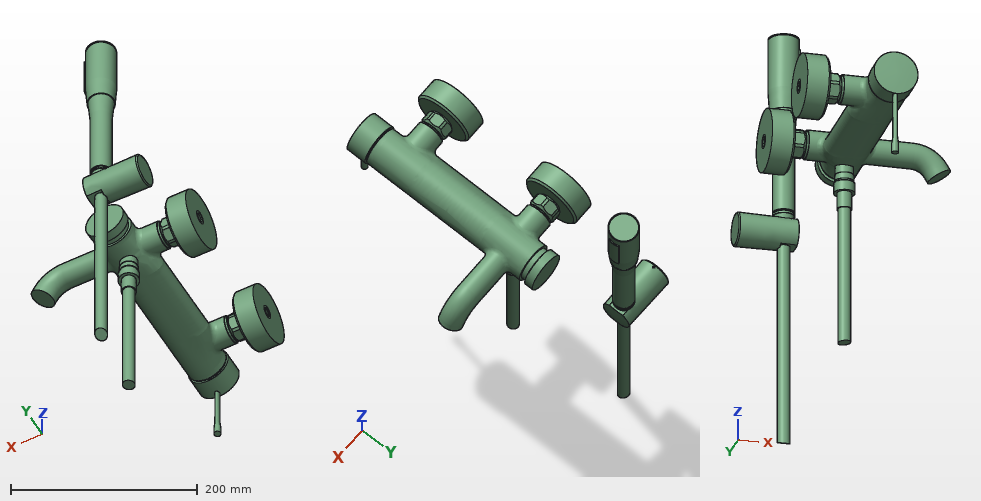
import cadquery as cq
import math


mixer_x = 92.0
inlet_spacing = 150.0
inlet_ys = (-inlet_spacing / 2, inlet_spacing / 2)
spout_y = inlet_ys[1]

flange_diameter = 70.0
flange_depth = 26.0
flange_edge = 2.5
stub_diameter = 15.0
stub_bore = 10.5
stub_bore_depth = 1.5
stub_offset = 3.0
nut_across_flats = 30.0
nut_corner_diameter = 33.0
nut_length = 17.0
nut_chamfer = 3.5
nut_turns = (0, 30)
washer_diameter = 29.5
washer_length = 2.5
inlet_diameter = 32.5

body_diameter = 46.0
body_radius = body_diameter / 2
lobe_height = 11.0
lobe_angle = 205.0
lobe_sharpness = 6
section_points = 48
lobe_half_length = 50.0
blend_end = 100.0
body_front = -106.5
groove_start = 105.5
groove_end = 113.0
groove_radius = 20.0
body_back = 123.5
pipe_blend = 5.5
joint_reach = 15.0
blend_steps = (1.0, 0.84, 0.5, 0.16, 0.0)

spout_diameter = 28.0
bend_x = 163.5
bend_radius = 31.0
bend_angle = 60.0
spout_tip = 6.5

outlet_x = 88.5
hose_diameter = 14.0
outlet_diameter = 20.0
outlet_bottom = -31.5
collar_diameter = 21.0
collar_bottom = -38.5
coupling_diameter = 23.0
coupling_top = -41.0
coupling_bottom = -52.5
sleeve_diameter = 16.0
sleeve_bottom = -71.0
outlet_hose_bottom = -228.0
outlet_hose_slant = 1.5

cap_diameter = 48.5
cap_front = -134.5
cap_dome = 1.5
cap_neck_length = 1.5
cap_neck_radius = 22.0
lever_y = -128.5
lever_thickness = 5.0
lever_width = 7.5
lever_neck_top = -73.5
lever_tip_top = -82.0
lever_bottom = -92.0

shower_x = 54.0
shower_y = 200.0
shower_top = 178.0
head_diameter = 34.0
head_radius = head_diameter / 2
head_rim_width = 1.0
head_recess = 1.0
head_bottom = 116.0
shoulder_bottom = 92.5
shoulder_radius = 15.0
cone_radius = 14.5
handle_top = 67.0
handle_diameter = 24.5
handle_radius = handle_diameter / 2
handle_bottom = -25.0
ring_groove_bottom = -26.5
ring_groove_radius = 11.0
ring_bottom = -29.5
tip_top_diameter = 22.5
tip_top_radius = tip_top_diameter / 2
tip_bottom_radius = 10.0
tip_bottom = -38.0
spray_top = 165.5
spray_bottom = 117.0
spray_diameter = 36.5
spray_half_width = 6.5
spray_depth = 12.0
holder_z = -50.0
holder_length = 68.0
holder_diameter = 35.5
holder_radius = holder_diameter / 2
holder_wall_diameter = 37.5
holder_wall_radius = holder_wall_diameter / 2
holder_wall_chamfer = 1.5
set_screw_diameter = 2.5
set_screw_x = 3.5
set_screw_depth = 4.0
holder_dome = 1.5
holder_flat_start = 48.5
holder_flat_height = 15.0
shower_hose_bottom = -298.0
shower_hose_slant = 5.5


def turned(stations):
    """Solid of revolution about Z through (radius, height) points, closed along the axis."""
    outline = [(0, stations[0][1]), *stations, (0, stations[-1][1])]
    return cq.Workplane("XZ").polyline(outline).close().revolve(360, (0, 0, 0), (0, 1, 0))


def rod_x(diameter, start, end, y, z=0):
    return cq.Workplane("YZ", (start, y, z)).circle(diameter / 2).extrude(end - start)


def rod_z(diameter, bottom, top, x, y):
    return cq.Workplane("XY", (x, y, bottom)).circle(diameter / 2).extrude(top - bottom)


def domed_rod(base_radius, radius, length, dome):
    """Straight or tapered rod along Z from the origin whose far end swells to a shallow dome."""
    sphere_radius = (radius**2 + dome**2) / (2 * dome)
    mid_radius = radius / 2
    mid_height = length - sphere_radius + math.sqrt(sphere_radius**2 - mid_radius**2)
    return (
        cq.Workplane("XZ")
        .lineTo(base_radius, 0)
        .lineTo(radius, length - dome)
        .threePointArc((mid_radius, mid_height), (0, length))
        .close()
        .revolve(360, (0, 0, 0), (0, 1, 0))
    )


def make_flange(y):
    disc = rod_x(flange_diameter, 0, flange_depth, y).faces(">X").edges().chamfer(flange_edge)
    return disc.cut(rod_x(stub_diameter, 0, flange_depth, y + stub_offset))


def make_union(y, turn):
    nut_end = flange_depth + nut_length
    hexagon = (
        cq.Workplane("YZ", (flange_depth, y, 0))
        .transformed(rotate=(0, 0, turn))
        .polygon(6, nut_across_flats / math.cos(math.pi / 6))
        .extrude(nut_length)
    )
    rounding = rod_x(nut_corner_diameter, flange_depth, nut_end, y).faces("<X or >X").edges()
    nut = hexagon.intersect(rounding.chamfer(nut_chamfer))
    washer = rod_x(washer_diameter, nut_end, nut_end + washer_length, y)
    stub = rod_x(stub_diameter, 0, flange_depth, y + stub_offset)
    bore = rod_x(stub_bore, 0, stub_bore_depth, y + stub_offset)
    return nut.union(washer).union(stub).cut(bore)


def lobe_section(y, amount):
    """Body circle with a rounded lobe that stands out down and toward the wall."""
    points = []
    for i in range(section_points):
        from_lobe = math.pi + 2 * math.pi * i / section_points
        bump = max(0, math.cos(from_lobe)) ** lobe_sharpness
        radius = body_radius + amount * lobe_height * bump
        angle = math.radians(lobe_angle) + from_lobe
        points.append((mixer_x + radius * math.cos(angle), radius * math.sin(angle)))
    return cq.Workplane("XZ", (0, y, 0)).spline(points, periodic=True).close()


def body_ring(radius, start, end):
    return cq.Workplane("XZ", (mixer_x, start, 0)).circle(radius).extrude(start - end)


def make_lobe_blend(side):
    """Lobe fading smoothly into the round body toward one end."""
    last = len(blend_steps) - 1
    spacing = (blend_end - lobe_half_length) / last
    wires = [
        lobe_section(side * (lobe_half_length + i * spacing), amount).wire().val()
        for i, amount in enumerate(blend_steps)
    ]
    return cq.Workplane(cq.Solid.makeLoft(wires))


def make_spout():
    path = (
        cq.Workplane("XZ", (0, spout_y, 0))
        .moveTo(mixer_x, 0)
        .lineTo(bend_x, 0)
        .radiusArc(
            (
                bend_x + bend_radius * math.sin(math.radians(bend_angle)),
                -bend_radius * (1 - math.cos(math.radians(bend_angle))),
            ),
            bend_radius,
        )
        .polarLine(spout_tip, -bend_angle)
    )
    return cq.Workplane("YZ", (mixer_x, spout_y, 0)).circle(spout_diameter / 2).sweep(path)


def round_pipe_joints(body):
    """Fillet the curves where the inlet pipes and the spout run into the body."""
    for y in inlet_ys:
        around_pipe = cq.selectors.BoxSelector(
            (mixer_x - body_radius - lobe_height, y - joint_reach, -body_radius),
            (mixer_x + body_radius, y + joint_reach, body_radius),
        )
        body = body.edges("%BSPLINE").edges(around_pipe).fillet(pipe_blend)
    return body


def make_mixer():
    inlet_start = flange_depth + nut_length + washer_length
    body = lobe_section(lobe_half_length, 1.0).extrude(2 * lobe_half_length)
    for side in (-1, 1):
        body = body.union(make_lobe_blend(side))
    body = body.union(lobe_section(-blend_end, 0).extrude(-blend_end - body_front))
    body = body.union(lobe_section(groove_start, 0).extrude(groove_start - blend_end))
    for y in inlet_ys:
        body = body.union(rod_x(inlet_diameter, inlet_start, mixer_x, y))
    body = body.union(make_spout())
    body = round_pipe_joints(body)
    body = body.union(body_ring(groove_radius, groove_start, groove_end))
    body = body.union(body_ring(body_radius, groove_end, body_back))
    return body.union(rod_z(outlet_diameter, outlet_bottom, 0, outlet_x, spout_y))


def make_hose(bottom, top, x, y, slant, slant_plane):
    """Hose whose lower end is cut off at a slant that rises by `slant` across its diameter."""
    hose = rod_z(hose_diameter, bottom, top, x, y)
    half = hose_diameter / 2
    wedge = (
        cq.Workplane(slant_plane, (x, y, bottom))
        .polyline([(-half, 0), (half, 0), (half, slant)])
        .close()
        .extrude(half, both=True)
    )
    return hose.cut(wedge)


def make_outlet_hose():
    fitting = turned(
        [
            (sleeve_diameter / 2, sleeve_bottom),
            (sleeve_diameter / 2, coupling_bottom),
            (coupling_diameter / 2, coupling_bottom),
            (coupling_diameter / 2, coupling_top),
            (outlet_diameter / 2, coupling_top),
            (outlet_diameter / 2, collar_bottom),
            (collar_diameter / 2, collar_bottom),
            (collar_diameter / 2, outlet_bottom),
        ]
    ).translate((outlet_x, spout_y, 0))
    hose = make_hose(
        outlet_hose_bottom, sleeve_bottom, outlet_x, spout_y, outlet_hose_slant, "XZ"
    )
    return fitting.union(hose)


def make_handle():
    cap_back = body_front - cap_neck_length
    cap = (
        domed_rod(cap_diameter / 2, cap_diameter / 2, cap_back - cap_front, cap_dome)
        .rotate((0, 0, 0), (1, 0, 0), 90)
        .translate((mixer_x, cap_back, 0))
    )
    neck = body_ring(cap_neck_radius, cap_back, body_front)
    blade = (
        cq.Workplane("XY", (mixer_x, lever_y, lever_neck_top))
        .ellipse(lever_thickness / 2, lever_width / 2)
        .extrude(-lever_neck_top)
    )
    flare = (
        cq.Workplane("XY", (mixer_x, lever_y, lever_tip_top))
        .ellipse(lever_width / 2, lever_width / 2)
        .workplane(offset=lever_neck_top - lever_tip_top)
        .ellipse(lever_thickness / 2, lever_width / 2)
        .loft()
    )
    tip = rod_z(lever_width, lever_bottom, lever_tip_top, mixer_x, lever_y)
    return cap.union(neck).union(blade).union(flare).union(tip)


def make_shower_tip():
    return turned([(tip_bottom_radius, tip_bottom), (tip_top_radius, ring_bottom)]).translate(
        (shower_x, shower_y, 0)
    )


def make_hand_shower():
    grip = turned(
        [
            (handle_radius, ring_bottom),
            (handle_radius, ring_groove_bottom),
            (ring_groove_radius, ring_groove_bottom),
            (ring_groove_radius, handle_bottom),
            (handle_radius, handle_bottom),
            (handle_radius, handle_top),
            (cone_radius, shoulder_bottom),
            (shoulder_radius, shoulder_bottom),
            (head_radius, head_bottom),
            (head_radius, shower_top),
            (head_radius - head_rim_width, shower_top),
            (head_radius - head_rim_width, shower_top - head_recess),
        ]
    ).translate((shower_x, shower_y, 0))
    spray_plate = rod_z(spray_diameter, spray_bottom, spray_top, shower_x, shower_y).intersect(
        cq.Workplane("XY", (shower_x + spray_depth, shower_y, spray_bottom))
        .rect(2 * spray_depth, 2 * spray_half_width)
        .extrude(spray_top - spray_bottom)
    )
    return grip.union(make_shower_tip()).union(spray_plate)


def make_holder():
    barrel = domed_rod(holder_wall_radius, holder_radius, holder_length, holder_dome)
    barrel = barrel.faces("<Z").edges().chamfer(holder_wall_chamfer)
    holder = barrel.rotate((0, 0, 0), (0, 1, 0), 90).translate((0, shower_y, holder_z))
    flat_length = holder_length - holder_flat_start
    for side in (-1, 1):
        slab_z = holder_z + side * (holder_flat_height + holder_radius / 2)
        slab = cq.Workplane("XY").box(flat_length, holder_wall_diameter, holder_radius)
        holder = holder.cut(slab.translate((holder_flat_start + flat_length / 2, shower_y, slab_z)))
    hose_hole = rod_z(
        hose_diameter, holder_z - holder_wall_radius, tip_bottom, shower_x, shower_y
    )
    screw_top = holder_z + holder_wall_radius
    screw_hole = rod_z(
        set_screw_diameter, screw_top - set_screw_depth, screw_top, set_screw_x, shower_y
    )
    return holder.cut(make_shower_tip()).cut(hose_hole).cut(screw_hole)


flanges = [make_flange(y) for y in inlet_ys]
unions = [make_union(y, turn) for y, turn in zip(inlet_ys, nut_turns)]
mixer = make_mixer()
handle = make_handle()
outlet_hose = make_outlet_hose()
hand_shower = make_hand_shower()
holder = make_holder()
shower_hose = make_hose(
    shower_hose_bottom, tip_bottom, shower_x, shower_y, shower_hose_slant, "YZ"
)

result = cq.Compound.makeCompound(
    [
        *[flange.val() for flange in flanges],
        *[union.val() for union in unions],
        mixer.val(),
        handle.val(),
        outlet_hose.val(),
        hand_shower.val(),
        holder.val(),
        shower_hose.val(),
    ]
)